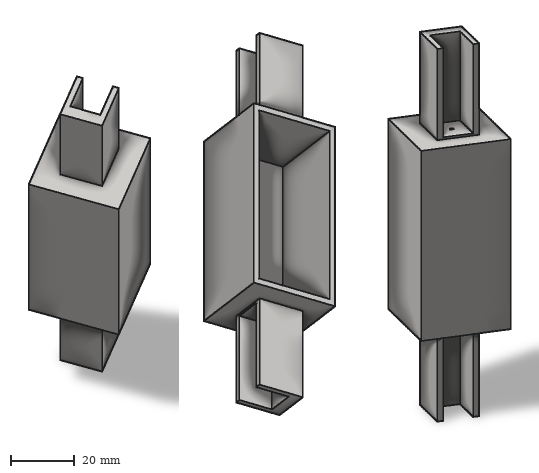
import cadquery as cq

BOX_WIDTH = 30.0
BOX_HEIGHT = 64.0
BOX_WALL = 2.0

TOTAL_HEIGHT = 125.5
ARM_WIDTH = 14.0
ARM_DEPTH = 16.0
ARM_SIDE_WALL = 2.0
ARM_WEB = 4.0
SLOT_LENGTH = 30.0

HOLE_DIAMETER = 1.2
HOLE_DEPTH = 1.0

ARM_START = BOX_HEIGHT / 2
ARM_END = TOTAL_HEIGHT / 2
SLOT_FLOOR = ARM_END - SLOT_LENGTH
SLOT_WIDTH = ARM_WIDTH - 2 * ARM_SIDE_WALL
SLOT_DEPTH = ARM_DEPTH - ARM_WEB
SLOT_CENTRE_Y = (ARM_DEPTH - SLOT_DEPTH) / 2


def make_box():
    outer = cq.Workplane("XY").box(BOX_WIDTH, BOX_WIDTH, BOX_HEIGHT)
    return outer.faces("<X").shell(-BOX_WALL)


def make_arm_blank():
    return (
        cq.Workplane("XY", origin=(0, 0, ARM_START))
        .rect(ARM_WIDTH, ARM_DEPTH)
        .extrude(ARM_END - ARM_START)
    )


def make_slot():
    """Channel cavity together with the blind hole in its floor."""
    floor_plane = cq.Workplane("XY", origin=(0, SLOT_CENTRE_Y, SLOT_FLOOR))
    cavity = floor_plane.rect(SLOT_WIDTH, SLOT_DEPTH).extrude(SLOT_LENGTH)
    hole = floor_plane.circle(HOLE_DIAMETER / 2).extrude(-HOLE_DEPTH)
    return cavity.union(hole)


upper_arm = make_arm_blank()
upper_slot = make_slot()

result = make_box()
result = result.union(upper_arm).union(upper_arm.mirror("XY"))
result = result.cut(upper_slot).cut(upper_slot.mirror("XY"))